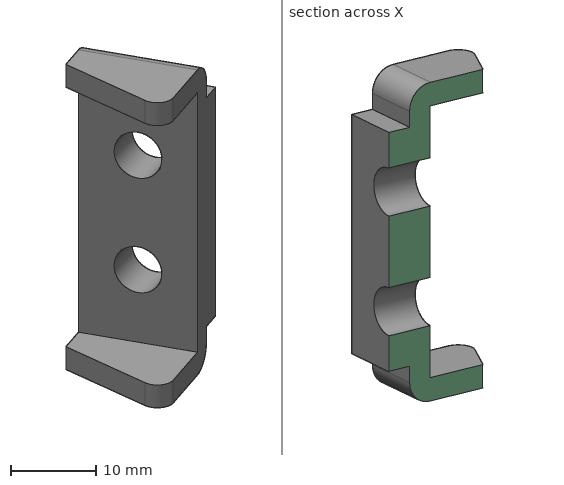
import cadquery as cq
import math

width = 15.0
height = 40.0
depth = 16.0
thickness = 3.0
pad_height = 30.0
bend_radius = 3.0
hole_diameter = 6.0
hole_spacing = 15.0
tip_radius = 2.0
taper_angle = math.radians(25.0)

tip_x = width / 2 - tip_radius
tip_y = -depth + tip_radius
tangent_x = tip_x - tip_radius * math.sin(taper_angle)
tangent_y = tip_y - tip_radius * math.cos(taper_angle)
taper_start_y = tangent_y + (tangent_x + width / 2) * math.tan(taper_angle)
arc_middle_angle = (math.pi / 2 - taper_angle) / 2
arc_middle = (
    tip_x + tip_radius * math.sin(arc_middle_angle),
    tip_y - tip_radius * math.cos(arc_middle_angle),
)


def make_channel():
    """C-shaped bracket with rounded outer bends and sharp inner corners."""
    blank = (
        cq.Workplane("XY")
        .box(width, depth - thickness, height, centered=(True, False, True))
        .translate((0, -depth, 0))
        .edges("|X and >Y")
        .fillet(bend_radius)
    )
    opening = (
        cq.Workplane("XY")
        .box(width, depth - 2 * thickness, height - 2 * thickness, centered=(True, False, True))
        .translate((0, -depth, 0))
    )
    return blank.cut(opening)


def make_plan_outline():
    """Full-height prism that trims both flanges to their tapered shape."""
    return (
        cq.Workplane("XY")
        .workplane(offset=-height / 2)
        .moveTo(-width / 2, 0)
        .lineTo(-width / 2, taper_start_y)
        .lineTo(tangent_x, tangent_y)
        .threePointArc(arc_middle, (width / 2, tip_y))
        .lineTo(width / 2, 0)
        .close()
        .extrude(height)
    )


def make_pad():
    """Raised pad on the back of the web."""
    return (
        cq.Workplane("XY")
        .box(width, 2 * thickness, pad_height, centered=(True, False, True))
        .translate((0, -2 * thickness, 0))
    )


def make_holes():
    """Two through holes spaced along Z."""
    return (
        cq.Workplane("XZ")
        .pushPoints([(0, -hole_spacing / 2), (0, hole_spacing / 2)])
        .circle(hole_diameter / 2)
        .extrude(depth)
    )


bracket = make_channel().intersect(make_plan_outline())
result = bracket.union(make_pad()).cut(make_holes())